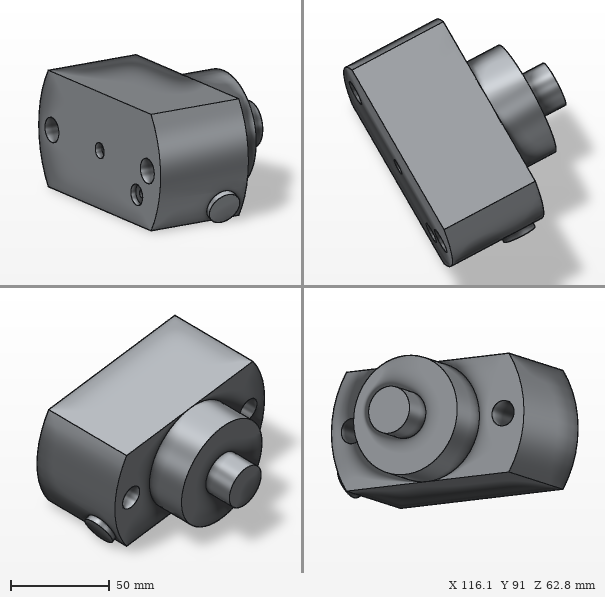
import cadquery as cq
import math

BODY_DIAMETER = 114.8
BODY_HEIGHT = 61.7
BODY_DEPTH = 53.2

FLANGE_DIAMETER = BODY_HEIGHT
FLANGE_LENGTH = 21.8
SPIGOT_DIAMETER = 24.4
SPIGOT_LENGTH = 16.0

MOUNT_DIAMETER = 13.1
MOUNT_OFFSET = 44.9
CENTRE_DIAMETER = 8.2
CENTRE_DEPTH = 4.0
PORT_X = 34.9
PORT_Z = -15.0
PORT_DIAMETER = 11.0
PORT_DEPTH = 3.0
PORT_BORE_DIAMETER = 4.1

PLUG_DIAMETER = 17.9
PLUG_Y = 40.2
PLUG_FACE_RADIUS = 60.0
PLUG_LENGTH = 7.0
PASSAGE_DIAMETER = 6.0

port_radius = math.hypot(PORT_X, PORT_Z)
radial_direction = cq.Vector(PORT_X, 0, PORT_Z).normalized()


def cylinder_along_y(diameter, length, x=0, y=0, z=0):
    """Cylinder that starts at (x, y, z) and runs towards +Y."""
    start = cq.Vector(x, y, z)
    return cq.Workplane(cq.Solid.makeCylinder(diameter / 2, length, start, cq.Vector(0, 1, 0)))


def radial_cylinder(diameter, inner_radius, outer_radius):
    """Cylinder on the plug axis between two distances from the body axis."""
    start = radial_direction * inner_radius + cq.Vector(0, PLUG_Y, 0)
    length = outer_radius - inner_radius
    return cq.Workplane(cq.Solid.makeCylinder(diameter / 2, length, start, radial_direction))


flats = cq.Workplane().box(BODY_DIAMETER, BODY_DEPTH, BODY_HEIGHT).translate((0, BODY_DEPTH / 2, 0))
result = cylinder_along_y(BODY_DIAMETER, BODY_DEPTH).intersect(flats)

result = result.union(cylinder_along_y(FLANGE_DIAMETER, FLANGE_LENGTH, y=BODY_DEPTH))
result = result.union(cylinder_along_y(SPIGOT_DIAMETER, SPIGOT_LENGTH, y=BODY_DEPTH + FLANGE_LENGTH))

plug_inner_radius = PLUG_FACE_RADIUS - PLUG_LENGTH
result = result.union(radial_cylinder(PLUG_DIAMETER, plug_inner_radius, PLUG_FACE_RADIUS))

for side in (-1, 1):
    result = result.cut(cylinder_along_y(MOUNT_DIAMETER, BODY_DEPTH, x=side * MOUNT_OFFSET))

result = result.cut(cylinder_along_y(CENTRE_DIAMETER, CENTRE_DEPTH))

result = result.cut(cylinder_along_y(PORT_DIAMETER, PORT_DEPTH, x=PORT_X, z=PORT_Z))
result = result.cut(cylinder_along_y(PORT_BORE_DIAMETER, PLUG_Y, x=PORT_X, z=PORT_Z))

passage_inner_radius = port_radius - PORT_BORE_DIAMETER
result = result.cut(radial_cylinder(PASSAGE_DIAMETER, passage_inner_radius, plug_inner_radius))